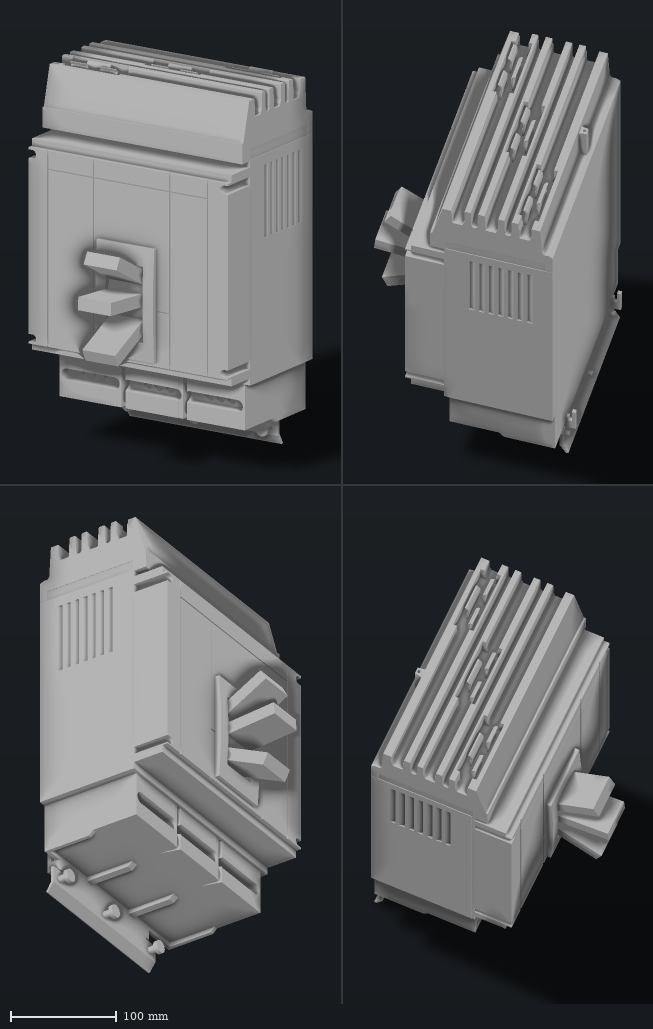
import cadquery as cq


width = 227.7
half_width = width / 2
moulding_inset = 0.3
moulding_half_width = half_width - moulding_inset
housing_front = -105.0
housing_top = 223.7
flange_front = -108.0
flange_top = 222.6
pole_pitch = 70.2
pole_centres = (-pole_pitch, 0.0, pole_pitch)
sides = (-1, 1)

cover_step_front = -140.4
cover_step_bottom, cover_step_top = 7.2, 216.4
cover_front = -146.5
cover_bottom, cover_top = 14.7, 209.3
groove_width = 1.5
groove_depth = 1.0
outer_groove_x = (-91.6, 90.4)
inner_groove_x = (-39.4, 47.4)
upper_groove_z = 190.9
lower_groove_z = 69.8
notch_reach = 9.0
upper_notch_z, upper_notch_height = 202.8, 8.8
lower_notch_z, lower_notch_height = 20.3, 7.8

louvre_count = 7
louvre_pitch = 9.55
louvre_width = 6.0
louvre_front_slant = 0.8
louvre_first_back = -19.8
louvre_bottom, louvre_top = 140.4, 213.2
louvre_depth = 3.0

terminal_front = -121.6
terminal_bottom = flange_top
terminal_shelf_z = 247.7
shelf_slope_bottom, shelf_slope_front = 245.5, -4.0
shelf_foot_y, rear_wall_foot_y, rear_wall_foot_z = -8.5, -10.6, 250.5
rear_wall_top_y = -12.5
hood_slope_top_y, hood_slope_bottom_y, hood_slope_bottom = -109.5, -119.6, 243.0
terminal_outer_top = 282.6
ridge_top = 286.0
ridge_rounding = 1.2
slot_floor = 264.6
jaw_slot_pitch = 33.35
jaw_slot_first_y = -27.7
jaw_slot_y = [jaw_slot_first_y - i * jaw_slot_pitch for i in range(len(pole_centres))]
jaw_slot_chamfer = 1.0
jaw_slot_rear, jaw_slot_rear_upper = 5.2, 6.7
jaw_slot_rear_step_bottom, jaw_slot_rear_step_top = 266.5, 270.5
jaw_slot_front, jaw_slot_front_upper = 5.4, 6.3
jaw_slot_front_step_bottom, jaw_slot_front_step_top = 277.5, 279.0
vent_slot_top_width, vent_slot_bottom_width = 7.0, 6.2
vent_slot_rounding = 2.9
jaw_pocket_length, jaw_pocket_depth = 63.8, 21.2
rear_blade_length = 26.2
front_blade_length, front_blade_offset = 18.6, 16.7
blade_thickness = 1.8
blade_offset = 4.3
blade_joggle = 0.9
blade_flare = 1.6
joggle_bottom, joggle_top, flare_bottom = 274.0, 276.0, 283.0
embed = 1.0
seam_recess = 0.4
seam_back, seam_front, seam_top = -7.9, -106.3, 234.6
post_x, post_front_width, post_back_width = -19.0, 9.0, 6.5
post_back, post_front, post_top = -4.6, -12.2, 279.3
post_hole_y, post_hole_diameter, post_hole_depth = -7.4, 3.5, 5.0

block_half_width = 105.5
block_front_bottom, block_back_bottom = -46.5, -51.2
block_slope_front, block_slope_back = -55.7, -50.8
outer_wall, divider_width = 4.0, 8.0
pole_gap_width, pole_gap_step = 9.8, 4.8
pole_gap_step_depth, pole_gap_depth = 0.5, 20.0
recess_length, recess_height, recess_z, recess_depth = 66.2, 12.0, -23.7, 12.0
screw_pitch, screw_diameter, screw_depth = 12.5, 8.6, 5.0

plate_half_width = 32.8
plate_bottom, plate_top = 19.1, 132.2
plate_edge_front, plate_mid_front = -151.2, -153.7
opening_half_width, opening_half_height = 20.9, 38.2
opening_floor = -138.4
pivot_y, pivot_z = -100.6, 75.5
drum_radius = 50.0
handle_reach, handle_thickness, handle_width = 104.5, 13.0, 37.4
handle_angles = (28.9, 4.6, -25.7)

bracket_back, bracket_front = -0.8, -4.0
bracket_left, bracket_right = -96.2, 76.9
bracket_mid = (bracket_left + bracket_right) / 2
flag_top, flag_bottom = -63.8, -81.5
skirt_back, skirt_bottom = 4.7, -91.2
skirt_end_run, skirt_end_rise = 2.0, 1.0
ear_left, ear_right = -86.8, 68.6
ear_thickness = 4.0
ear_bend_radius = 3.2
ear_bottom = -61.9
ear_relief = 7.6
hook_back, hook_front, hook_top = 9.33, 5.6, -37.9
hook_slot_front, lip_top = 2.4, -46.0
pin_pitch, pin_z = 76.3, -73.7
pin_head_diameter, pin_head_back, pin_head_front = 13.2, -12.8, -17.2
pin_shaft_diameter = 7.0
pin_tip_diameter, pin_tip_back = 5.6, 3.0


def box(x0, x1, y0, y1, z0, z1):
    """Axis-aligned block between opposite corners, given in any order."""
    size = (abs(x1 - x0), abs(y1 - y0), abs(z1 - z0))
    return cq.Workplane("XY").box(*size).translate(((x0 + x1) / 2, (y0 + y1) / 2, (z0 + z1) / 2))


def prism_x(points, x0, x1):
    """Extrude a closed (Y, Z) outline from x0 to x1."""
    return cq.Workplane("YZ").workplane(offset=x0).polyline(points).close().extrude(x1 - x0)


def rod_y(x, z, diameter, y_back, y_front):
    """Round rod along Y."""
    rod = cq.Workplane("XZ").circle(diameter / 2).extrude(y_back - y_front)
    return rod.translate((x, y_back, z))


def make_housing():
    body = box(-half_width, half_width, 0, housing_front, 0, housing_top)
    body = body.union(box(
        -moulding_half_width, moulding_half_width, housing_front, flange_front, 0, flange_top,
    ))
    for side in sides:
        for i in range(louvre_count):
            back = louvre_first_back - i * louvre_pitch
            front = back - louvre_width
            outline = [
                (side * half_width, back),
                (side * half_width, front),
                (side * (half_width - louvre_depth), front + louvre_front_slant),
            ]
            louvre = cq.Workplane("XY").workplane(offset=louvre_bottom).polyline(outline).close()
            body = body.cut(louvre.extrude(louvre_top - louvre_bottom))
    return body


def cover_grooves():
    """Shallow panel lines on the cover face."""
    half = groove_width / 2
    floor = cover_front + groove_depth
    cutters = []
    for x in outer_groove_x + inner_groove_x:
        cutters.append(box(x - half, x + half, floor, cover_front, cover_bottom, cover_top))
    for (x0, x1), z in ((outer_groove_x, upper_groove_z), (inner_groove_x, lower_groove_z)):
        cutters.append(box(x0, x1, floor, cover_front, z - half, z + half))
    return cutters


def corner_notch(side, z, height):
    """Screw channel in a side edge of the cover, fully rounded at its inner end."""
    channel = cq.Workplane("XZ").slot2D(2 * notch_reach, height).extrude(flange_front - cover_front)
    return channel.translate((side * half_width, flange_front, z))


def make_cover():
    cover = box(
        -moulding_half_width, moulding_half_width,
        housing_front, cover_step_front, cover_step_bottom, cover_step_top,
    )
    cover = cover.union(box(
        -moulding_half_width, moulding_half_width, housing_front, cover_front, cover_bottom, cover_top,
    ))
    for cutter in cover_grooves():
        cover = cover.cut(cutter)
    for side in sides:
        cover = cover.cut(corner_notch(side, upper_notch_z, upper_notch_height))
        cover = cover.cut(corner_notch(side, lower_notch_z, lower_notch_height))
    return cover


def jaw_slot(y):
    """Full-width slot for a jaw, with chamfered floor corners and stepped walls."""
    outline = [
        (y + jaw_slot_rear - jaw_slot_chamfer, slot_floor),
        (y + jaw_slot_rear, slot_floor + jaw_slot_chamfer),
        (y + jaw_slot_rear, jaw_slot_rear_step_bottom),
        (y + jaw_slot_rear_upper, jaw_slot_rear_step_top),
        (y + jaw_slot_rear_upper, ridge_top),
        (y - jaw_slot_front_upper, ridge_top),
        (y - jaw_slot_front_upper, jaw_slot_front_step_top),
        (y - jaw_slot_front, jaw_slot_front_step_bottom),
        (y - jaw_slot_front, slot_floor + jaw_slot_chamfer),
        (y - jaw_slot_front + jaw_slot_chamfer, slot_floor),
    ]
    return prism_x(outline, -moulding_half_width, moulding_half_width)


def vent_slot(y):
    """Full-width slot between ridges, slightly tapered and rounded at its floor."""
    outline = [
        (y - vent_slot_bottom_width / 2, slot_floor),
        (y + vent_slot_bottom_width / 2, slot_floor),
        (y + vent_slot_top_width / 2, ridge_top),
        (y - vent_slot_top_width / 2, ridge_top),
    ]
    slot = prism_x(outline, -moulding_half_width, moulding_half_width)
    return slot.edges("<Z and |X").fillet(vent_slot_rounding)


def make_blade(y_base, toward_middle, x, length):
    """Springy contact blade, joggled toward the slot middle with a flared tip."""
    half = blade_thickness / 2
    joggle = blade_joggle * toward_middle
    flare = -blade_flare * toward_middle
    centre_line = [
        (y_base, slot_floor - embed),
        (y_base, joggle_bottom),
        (y_base + joggle, joggle_top),
        (y_base + joggle, flare_bottom),
        (y_base + flare, ridge_top),
    ]
    rear_side = [(y + half, z) for y, z in centre_line]
    front_side = [(y - half, z) for y, z in reversed(centre_line)]
    return prism_x(rear_side + front_side, x - length / 2, x + length / 2)


def make_jaw(x, y):
    """One rear blade facing a pair of front blades."""
    jaw = make_blade(y + blade_offset, -1, x, rear_blade_length)
    for side in sides:
        front_x = x + side * front_blade_offset
        jaw = jaw.union(make_blade(y - blade_offset, 1, front_x, front_blade_length))
    return jaw


def make_key_post():
    """Keying post on the rear shelf, narrower at the back, with a blind hole on top."""
    outline = [
        (-post_front_width / 2, post_front),
        (post_front_width / 2, post_front),
        (post_back_width / 2, post_back),
        (-post_back_width / 2, post_back),
    ]
    post = cq.Workplane("XY").polyline(outline).close().extrude(post_top - terminal_shelf_z + embed)
    post = post.translate((post_x, 0, terminal_shelf_z - embed))
    hole = cq.Workplane("XY").workplane(offset=post_top - post_hole_depth).center(post_x, post_hole_y)
    return post.cut(hole.circle(post_hole_diameter / 2).extrude(post_hole_depth))


def make_terminal_cover():
    outline = [
        (0, housing_top),
        (0, shelf_slope_bottom),
        (shelf_slope_front, terminal_shelf_z),
        (shelf_foot_y, terminal_shelf_z),
        (rear_wall_foot_y, rear_wall_foot_z),
        (rear_wall_top_y, terminal_outer_top),
        (jaw_slot_y[0], terminal_outer_top),
        (jaw_slot_y[0], ridge_top),
        (jaw_slot_y[-1], ridge_top),
        (jaw_slot_y[-1], terminal_outer_top),
        (hood_slope_top_y, terminal_outer_top),
        (hood_slope_bottom_y, hood_slope_bottom),
        (terminal_front, hood_slope_bottom),
        (terminal_front, terminal_bottom),
        (housing_front, terminal_bottom),
        (housing_front, housing_top),
    ]
    cover = prism_x(outline, -moulding_half_width, moulding_half_width)
    for y in jaw_slot_y:
        cover = cover.cut(jaw_slot(y))
    for y in jaw_slot_y[:-1]:
        cover = cover.cut(vent_slot(y - jaw_slot_pitch / 2))
    cover = cover.faces(">Z").edges("|X").fillet(ridge_rounding)
    for x, y in zip(pole_centres, reversed(jaw_slot_y)):
        pocket = box(
            x - jaw_pocket_length / 2, x + jaw_pocket_length / 2,
            y + jaw_pocket_depth / 2, y - jaw_pocket_depth / 2, slot_floor, ridge_top,
        )
        cover = cover.cut(pocket).union(make_jaw(x, y))
    return cover.union(make_key_post())


def seam_recesses():
    """Thin recess on each side where the terminal cover meets the housing."""
    cutters = []
    for side in sides:
        outer = side * half_width
        inner = side * (moulding_half_width - seam_recess)
        cutters.append(box(inner, outer, seam_back, seam_front, housing_top, seam_top))
    return cutters


def pole_gap(x):
    """Stepped groove with a slanted wall between two neighbouring poles."""
    left = x - pole_gap_width / 2
    step = left + pole_gap_step
    outline = [
        (left, housing_front),
        (left, housing_front + pole_gap_step_depth),
        (step, housing_front + pole_gap_step_depth),
        (step, housing_front + pole_gap_depth),
        (left + pole_gap_width, housing_front),
    ]
    groove = cq.Workplane("XY").workplane(offset=block_back_bottom).polyline(outline).close()
    return groove.extrude(-block_back_bottom)


def terminal_recess(x):
    """Round-ended recess with three screw holes in its floor."""
    floor_y = housing_front + recess_depth
    recess = cq.Workplane("XZ").slot2D(recess_length, recess_height).extrude(recess_depth)
    recess = recess.translate((x, floor_y, recess_z))
    for i in (-1, 0, 1):
        hole = rod_y(x + i * screw_pitch, recess_z, screw_diameter, floor_y + screw_depth, floor_y)
        recess = recess.union(hole)
    return recess


def make_terminal_block():
    outline = [
        (0, 0),
        (0, block_back_bottom),
        (block_slope_back, block_back_bottom),
        (block_slope_front, block_front_bottom),
        (housing_front, block_front_bottom),
        (housing_front, 0),
    ]
    block = prism_x(outline, -block_half_width, block_half_width)
    gap_centres = (-pole_pitch / 2, pole_pitch / 2)
    underside_edges = [-block_half_width + outer_wall]
    for x in gap_centres:
        underside_edges += [x - divider_width / 2, x + divider_width / 2]
    underside_edges.append(block_half_width - outer_wall)
    for x0, x1 in zip(underside_edges[::2], underside_edges[1::2]):
        pocket = box(x0, x1, bracket_front, block_slope_front, block_back_bottom, block_front_bottom)
        block = block.cut(pocket)
    for x in gap_centres:
        block = block.cut(pole_gap(x))
    for x in pole_centres:
        block = block.cut(terminal_recess(x))
    return block


def make_escutcheon():
    """Plate around the handle opening, gently domed from bottom to top."""
    dome_middle = (plate_mid_front, (plate_bottom + plate_top) / 2)
    return (
        cq.Workplane("YZ")
        .workplane(offset=-plate_half_width)
        .moveTo(cover_front, plate_bottom)
        .lineTo(plate_edge_front, plate_bottom)
        .threePointArc(dome_middle, (plate_edge_front, plate_top))
        .lineTo(cover_front, plate_top)
        .close()
        .extrude(2 * plate_half_width)
    )


def handle_opening():
    return box(
        -opening_half_width, opening_half_width, opening_floor, plate_mid_front,
        pivot_z - opening_half_height, pivot_z + opening_half_height,
    )


def make_drum():
    drum = cq.Workplane("YZ").workplane(offset=-opening_half_width).circle(drum_radius)
    return drum.extrude(2 * opening_half_width).translate((0, pivot_y, pivot_z))


def make_handle(angle):
    """Handle paddle pointing forward, raised by the given angle about the drum axis."""
    root = drum_radius / 2
    paddle = box(
        -handle_width / 2, handle_width / 2, -root, -handle_reach,
        -handle_thickness / 2, handle_thickness / 2,
    )
    return paddle.rotate((0, 0, 0), (1, 0, 0), -angle).translate((0, pivot_y, pivot_z))


def make_ear(x_outer, toward_middle):
    """Hooked ear bent back from the bracket, rounded at the bend."""
    outline = [
        (bracket_front, ear_bottom),
        (hook_back, ear_bottom),
        (hook_back, hook_top),
        (hook_front, hook_top),
        (hook_front, block_back_bottom),
        (hook_slot_front, block_back_bottom),
        (hook_slot_front, lip_top),
        (bracket_front, lip_top),
    ]
    x_inner = x_outer + toward_middle * ear_thickness
    ear = prism_x(outline, min(x_outer, x_inner), max(x_outer, x_inner))
    bend = "<X and <Y" if toward_middle > 0 else ">X and <Y"
    return ear.edges("|Z").edges(bend).fillet(ear_bend_radius)


def make_bracket():
    flag = [
        (bracket_back, flag_top),
        (bracket_front, flag_top),
        (bracket_front, flag_bottom),
        (skirt_back - skirt_end_run, skirt_bottom),
        (skirt_back, skirt_bottom + skirt_end_rise),
        (bracket_back, flag_bottom + skirt_end_rise),
    ]
    bracket = prism_x(flag, bracket_left, bracket_right)
    neck_left, neck_right = ear_left + ear_relief, ear_right - ear_relief
    bracket = bracket.union(
        box(neck_left, neck_right, bracket_back, bracket_front, flag_top, block_front_bottom)
    )
    plate_left, plate_right = ear_left + ear_thickness, ear_right - ear_thickness
    bracket = bracket.union(
        box(plate_left, plate_right, bracket_back, bracket_front, ear_bottom, block_front_bottom)
    )
    bracket = bracket.union(make_ear(ear_left, 1)).union(make_ear(ear_right, -1))
    for i in (-1, 0, 1):
        x = bracket_mid + i * pin_pitch
        bracket = bracket.union(rod_y(x, pin_z, pin_tip_diameter, pin_tip_back, bracket_front))
        bracket = bracket.union(rod_y(x, pin_z, pin_shaft_diameter, bracket_back, pin_head_front))
        bracket = bracket.union(rod_y(x, pin_z, pin_head_diameter, pin_head_back, pin_head_front))
    return bracket


breaker = make_housing().union(make_cover()).union(make_terminal_cover())
for recess in seam_recesses():
    breaker = breaker.cut(recess)
breaker = breaker.union(make_terminal_block()).union(make_escutcheon())
breaker = breaker.cut(handle_opening()).union(make_drum())
for handle_angle in handle_angles:
    breaker = breaker.union(make_handle(handle_angle))
result = breaker.union(make_bracket())